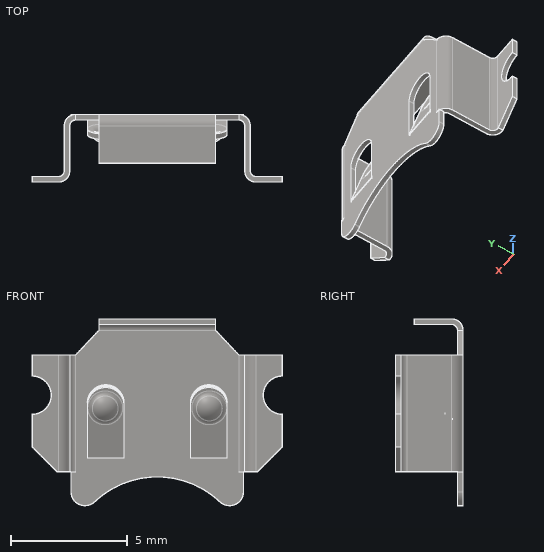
import cadquery as cq
import math

WIDTH = 10.71
DEPTH = 2.9
HEIGHT = 8.0

SHEET = 0.25
BEND_INNER = 0.25
BEND_OUTER = BEND_INNER + SHEET

WALL_OUTER = 3.98
WALL_INNER = WALL_OUTER - SHEET
WALL_BOTTOM = 1.46
WALL_HEIGHT = 5.0
WALL_TOP = WALL_BOTTOM + WALL_HEIGHT
FOOT_CHAMFER = 1.06
NOTCH_RADIUS = 0.81
NOTCH_Z = 4.73

PLATE_EDGE = WALL_OUTER - BEND_OUTER
SKIRT_EDGE = 3.7
SKIRT_CORNER = 0.6
ARCH_TOP = 1.23

TAB_WIDTH = 5.0
TAB_DEPTH = 2.1

FINGER_X = 2.21
FINGER_WIDTH = 1.56
FINGER_ROOT = 2.03
FINGER_LENGTH = 3.14
FINGER_TILT = 15.5

DIMPLE_X = 2.23
DIMPLE_Z = 2.24
DIMPLE_RIM = 0.75
DOME_RADIUS = 0.7
DIMPLE_FILLET = 0.25


def bend(x, y, start_angle):
    """Quarter-ring bend section about (x, y), sweeping 90 degrees from start_angle."""
    def at(radius, turn):
        angle = math.radians(start_angle + turn)
        return (x + radius * math.cos(angle), y + radius * math.sin(angle))

    return (
        cq.Workplane("XY")
        .moveTo(*at(BEND_INNER, 0))
        .lineTo(*at(BEND_OUTER, 0))
        .threePointArc(at(BEND_OUTER, 45), at(BEND_OUTER, 90))
        .lineTo(*at(BEND_INNER, 90))
        .threePointArc(at(BEND_INNER, 45), at(BEND_INNER, 0))
        .close()
    )


def block(x0, x1, y0, y1, z0, z1):
    """Box between two opposite corners."""
    return cq.Workplane("XY").box(x1 - x0, y1 - y0, z1 - z0, centered=False).translate((x0, y0, z0))


def make_plate():
    upper = (
        cq.Workplane("XZ")
        .polyline([
            (-PLATE_EDGE, WALL_BOTTOM),
            (PLATE_EDGE, WALL_BOTTOM),
            (PLATE_EDGE, WALL_TOP),
            (TAB_WIDTH / 2, HEIGHT - BEND_OUTER),
            (-TAB_WIDTH / 2, HEIGHT - BEND_OUTER),
            (-PLATE_EDGE, WALL_TOP),
        ])
        .close()
        .extrude(SHEET)
    )
    corner_x = SKIRT_EDGE - SKIRT_CORNER
    drop = ARCH_TOP - SKIRT_CORNER
    arch_radius = (corner_x**2 + drop**2 - SKIRT_CORNER**2) / (2 * (drop + SKIRT_CORNER))
    blend = arch_radius / (arch_radius + SKIRT_CORNER)
    blend_x = corner_x * blend
    arch_z = ARCH_TOP - arch_radius
    blend_z = arch_z + (SKIRT_CORNER - arch_z) * blend
    skirt = (
        cq.Workplane("XZ")
        .moveTo(SKIRT_EDGE, WALL_BOTTOM)
        .lineTo(SKIRT_EDGE, SKIRT_CORNER)
        .threePointArc((corner_x, 0), (blend_x, blend_z))
        .threePointArc((0, ARCH_TOP), (-blend_x, blend_z))
        .threePointArc((-corner_x, 0), (-SKIRT_EDGE, SKIRT_CORNER))
        .lineTo(-SKIRT_EDGE, WALL_BOTTOM)
        .close()
        .extrude(SHEET)
    )
    return upper.union(skirt)


def make_right_wall():
    foot_bend_x = WALL_INNER + BEND_OUTER
    foot_bend_y = -DEPTH + BEND_OUTER
    wall = block(WALL_INNER, WALL_OUTER, foot_bend_y, -BEND_OUTER, WALL_BOTTOM, WALL_TOP)
    foot = block(foot_bend_x, WIDTH / 2, -DEPTH, -DEPTH + SHEET, WALL_BOTTOM, WALL_TOP)
    foot = foot.edges("|Y and >X and <Z").chamfer(FOOT_CHAMFER)
    notch = cq.Workplane("XZ").center(WIDTH / 2, NOTCH_Z).circle(NOTCH_RADIUS).extrude(DEPTH)
    bends = [bend(PLATE_EDGE, -BEND_OUTER, 0), bend(foot_bend_x, foot_bend_y, 180)]
    for section in bends:
        wall = wall.union(section.extrude(WALL_HEIGHT).translate((0, 0, WALL_BOTTOM)))
    return wall.union(foot.cut(notch))


def make_tab():
    bend_z = HEIGHT - BEND_OUTER
    flat = block(-TAB_WIDTH / 2, TAB_WIDTH / 2, -TAB_DEPTH, -BEND_OUTER, HEIGHT - SHEET, HEIGHT)
    corner = (
        bend(0, 0, 0)
        .extrude(TAB_WIDTH / 2, both=True)
        .rotate((0, 0, 0), (1, 1, 1), 120)
        .translate((0, -BEND_OUTER, bend_z))
    )
    return flat.union(corner)


def finger_blank(x):
    """Round-ended strip filling the finger's slot in the plate."""
    radius = FINGER_WIDTH / 2
    straight = FINGER_LENGTH - radius
    return (
        cq.Workplane("XZ")
        .moveTo(x - radius, FINGER_ROOT)
        .lineTo(x + radius, FINGER_ROOT)
        .lineTo(x + radius, FINGER_ROOT + straight)
        .threePointArc((x, FINGER_ROOT + FINGER_LENGTH), (x - radius, FINGER_ROOT + straight))
        .close()
        .extrude(SHEET)
    )


def make_dimple():
    """Hollow dome of sheet thickness: axis along Z, sheet front face at Z = 0."""
    span = DOME_RADIUS + DIMPLE_FILLET
    flare = math.asin(DIMPLE_RIM / span)
    dome_z = DIMPLE_FILLET - span * math.cos(flare)

    def on_dome(radius, angle):
        return (radius * math.sin(angle), dome_z + radius * math.cos(angle))

    def on_fillet(radius, angle):
        return (DIMPLE_RIM - radius * math.sin(angle), DIMPLE_FILLET - radius * math.cos(angle))

    inner_dome = DOME_RADIUS - SHEET
    back_fillet = DIMPLE_FILLET + SHEET
    return (
        cq.Workplane("XZ")
        .moveTo(*on_dome(DOME_RADIUS, 0))
        .threePointArc(on_dome(DOME_RADIUS, flare / 2), on_dome(DOME_RADIUS, flare))
        .threePointArc(on_fillet(DIMPLE_FILLET, flare / 2), on_fillet(DIMPLE_FILLET, 0))
        .lineTo(*on_fillet(back_fillet, 0))
        .threePointArc(on_fillet(back_fillet, flare / 2), on_fillet(back_fillet, flare))
        .threePointArc(on_dome(inner_dome, flare / 2), on_dome(inner_dome, 0))
        .close()
        .revolve(360, (0, 0), (0, 1))
    )


def make_finger(side):
    dimple_z = FINGER_ROOT + DIMPLE_Z
    opening = cq.Workplane("XZ").center(side * DIMPLE_X, dimple_z).circle(DIMPLE_RIM).extrude(SHEET)
    dimple = make_dimple().rotate((0, 0, 0), (1, 0, 0), 90).translate((side * DIMPLE_X, -SHEET, dimple_z))
    flat = finger_blank(side * FINGER_X).cut(opening).union(dimple)
    return flat.rotate((0, -SHEET, FINGER_ROOT), (1, -SHEET, FINGER_ROOT), FINGER_TILT)


right_wall = make_right_wall()
result = make_plate().union(make_tab()).union(right_wall).union(right_wall.mirror("YZ"))
for side in (-1, 1):
    result = result.cut(finger_blank(side * FINGER_X))
for side in (-1, 1):
    result = result.union(make_finger(side))